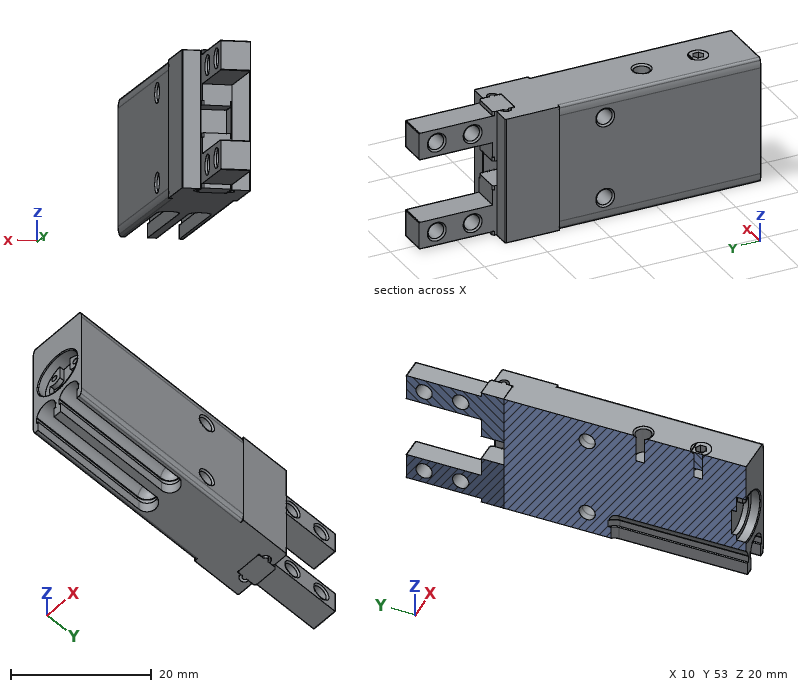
import cadquery as cq
import math

WIDTH = 10.0
HEIGHT = 20.0
LENGTH = 53.0
TOP = HEIGHT / 2

HOUSING_LENGTH = 40.7
HEAD_START = 32.05
HEAD_EDGE_CHAMFER = 0.15
BODY_HALF_WIDTH = WIDTH / 2 - 0.02
CORNER_FLAT_END = 4.4
CORNER_KNEE_X = 4.8
CORNER_KNEE_Z = 9.65
CORNER_SIDE_Z = 8.55

THREAD_DIAMETER = 3.0
TAP_DIAMETER = 2.46
COUNTERSINK_DEPTH = (THREAD_DIAMETER - TAP_DIAMETER) / 2
MOUNT_HOLE_Y = 24.8
MOUNT_HOLE_SPACING = 13.0
PORT_Y = 16.5
PLUG_PORT_Y = 7.5
PORT_DEPTH = 4.5

BORE_DIAMETER = 8.0
BORE_CHAMFER = 0.15
RING_FACE_DEPTH = 1.5
RING_THICKNESS = 0.8
RING_INNER_RADIUS = 3.15
RING_GAP = 2.1
EAR_X = 2.15
EAR_Z = 2.15
EAR_RADIUS = 1.4
EAR_HOLE_DIAMETER = 1.0

SLOT_X = 2.32
SLOT_LENGTH = 20.0
SLOT_MOUTH_WIDTH = 3.3
SLOT_WIDTH = 3.9
SLOT_DOME_RADIUS = 1.85
SLOT_LEDGE_Z = -7.95
SLOT_SHOULDER_Z = -6.8
SLOT_TOP_Z = -5.05

FINGER_WIDTH = 4.35
GUIDE_REAR = 37.8
GUIDE_MOUTH_CHAMFER = 0.15
RAIL_Y = 39.2
RAIL_GROOVE_DIAMETER = 1.57
RAIL_DIAMETER = 0.8
RAIL_INSET = 0.07

SLIDER_FRONT = 41.3
SLIDER_INNER_Z = 2.0
SLIDER_EDGE_CHAMFER = 0.25
NECK_INNER_Z = 2.65
NECK_OUTER_Z = 9.35
FINGER_THICKNESS = 4.3
FINGER_TIP_CHAMFER = 0.1
FINGER_HOLE_TIP_DISTANCE = 2.8
FINGER_HOLE_SPACING = 5.7

SCREW_LENGTH = 3.0
SCREW_FLAT_Y = 1.16
HEX_ACROSS_FLATS = 1.5
HEX_DEPTH = 1.2
SOCKET_FLOOR_DIAMETER = 0.8
SOCKET_CONE_DEPTH = 0.3


def box(x_range, y_range, z_range):
    """Axis-aligned block between the given limits."""
    size = [high - low for low, high in (x_range, y_range, z_range)]
    corner = (x_range[0], y_range[0], z_range[0])
    return cq.Workplane("XY").box(*size, centered=False).translate(corner)


def countersunk_bore(depth):
    """Countersunk tap-drill shape about Z, sinking from Z = 0."""
    return (
        cq.Workplane("XZ")
        .lineTo(THREAD_DIAMETER / 2, 0)
        .lineTo(TAP_DIAMETER / 2, -COUNTERSINK_DEPTH)
        .lineTo(TAP_DIAMETER / 2, -depth)
        .lineTo(0, -depth)
        .close()
        .revolve(360, (0, 0, 0), (0, 1, 0))
    )


def cross_hole(thickness, y, z):
    """Hole through the given thickness along X, countersunk on both sides."""
    half = countersunk_bore(thickness / 2).rotate((0, 0, 0), (0, 1, 0), 90)
    half = half.translate((thickness / 2, 0, 0))
    return half.union(half.mirror("YZ")).translate((0, y, z))


def rear_cylinder(diameter, start, depth, x=0, z=0):
    """Cylinder along +Y starting at Y = start."""
    return cq.Workplane("XZ", origin=(x, start, z)).circle(diameter / 2).extrude(-depth)


def vertical_cylinder(diameter, x, y, bottom, top):
    """Cylinder along Z between two heights."""
    return cq.Workplane("XY", origin=(x, y, bottom)).circle(diameter / 2).extrude(top - bottom)


def rounded_body():
    """Rear body: side walls that curl into the top and bottom faces in two arcs per corner."""
    tight_run = CORNER_KNEE_X - CORNER_FLAT_END
    tight_drop = TOP - CORNER_KNEE_Z
    tight_radius = (tight_run**2 + tight_drop**2) / (2 * tight_drop)
    flank_inset = BODY_HALF_WIDTH - CORNER_KNEE_X
    flank_height = CORNER_KNEE_Z - CORNER_SIDE_Z
    flank_radius = (flank_inset**2 + flank_height**2) / (2 * flank_inset)
    half = (
        cq.Workplane("XZ")
        .moveTo(0, TOP)
        .lineTo(CORNER_FLAT_END, TOP)
        .radiusArc((CORNER_KNEE_X, CORNER_KNEE_Z), tight_radius)
        .radiusArc((BODY_HALF_WIDTH, CORNER_SIDE_Z), flank_radius)
        .lineTo(BODY_HALF_WIDTH, -CORNER_SIDE_Z)
        .radiusArc((CORNER_KNEE_X, -CORNER_KNEE_Z), flank_radius)
        .radiusArc((CORNER_FLAT_END, -TOP), tight_radius)
        .lineTo(0, -TOP)
        .close()
        .extrude(-HEAD_START)
    )
    return half.union(half.mirror("YZ"))


def cylinder_bore():
    """Rear bore, with a deeper recess that leaves a C-shaped retaining step with two eared ends."""
    bore_radius = BORE_DIAMETER / 2
    bore = (
        cq.Workplane("XY")
        .lineTo(bore_radius + BORE_CHAMFER, 0)
        .lineTo(bore_radius, BORE_CHAMFER)
        .lineTo(bore_radius, RING_FACE_DEPTH)
        .lineTo(0, RING_FACE_DEPTH)
        .close()
        .revolve(360, (0, 0, 0), (0, 1, 0))
    )
    recess = rear_cylinder(2 * RING_INNER_RADIUS, RING_FACE_DEPTH, RING_THICKNESS)
    ring_end = RING_FACE_DEPTH + RING_THICKNESS
    for side in (-1, 1):
        recess = recess.cut(
            rear_cylinder(2 * EAR_RADIUS, RING_FACE_DEPTH, RING_THICKNESS, side * EAR_X, EAR_Z)
        )
    gap = box((-RING_GAP / 2, RING_GAP / 2), (RING_FACE_DEPTH, ring_end), (0, bore_radius))
    gap = gap.intersect(rear_cylinder(BORE_DIAMETER, RING_FACE_DEPTH, RING_THICKNESS))
    recess = recess.union(gap)
    for side in (-1, 1):
        recess = recess.union(
            rear_cylinder(EAR_HOLE_DIAMETER, RING_FACE_DEPTH, RING_THICKNESS, side * EAR_X, EAR_Z)
        )
    return bore.union(recess)


def sensor_slot(x):
    """Domed T-slot along Y, ending in the same profile turned about a vertical axis."""
    dome_rise = SLOT_TOP_Z - SLOT_SHOULDER_Z
    dome_half_width = math.sqrt(SLOT_DOME_RADIUS**2 - (SLOT_DOME_RADIUS - dome_rise) ** 2)

    def half_profile():
        return (
            cq.Workplane("XZ")
            .moveTo(0, -TOP)
            .lineTo(SLOT_MOUTH_WIDTH / 2, -TOP)
            .lineTo(SLOT_MOUTH_WIDTH / 2, SLOT_LEDGE_Z)
            .lineTo(SLOT_WIDTH / 2, SLOT_LEDGE_Z)
            .lineTo(SLOT_WIDTH / 2, SLOT_SHOULDER_Z)
            .lineTo(dome_half_width, SLOT_SHOULDER_Z)
            .radiusArc((0, SLOT_TOP_Z), -SLOT_DOME_RADIUS)
            .close()
        )

    straight = half_profile().extrude(-SLOT_LENGTH)
    straight = straight.union(straight.mirror("YZ"))
    rounded_end = half_profile().revolve(360, (0, 0, 0), (0, 1, 0)).translate((0, SLOT_LENGTH, 0))
    return straight.union(rounded_end).translate((x, 0, 0))


def guideway():
    """Slot through the head, with round rail grooves beside each slider that leave the middle solid."""
    half_width = FINGER_WIDTH / 2
    slot = box((-half_width, half_width), (GUIDE_REAR, HOUSING_LENGTH), (-TOP, TOP))
    for side in (-1, 1):
        groove = vertical_cylinder(
            RAIL_GROOVE_DIAMETER, side * half_width, RAIL_Y, SLIDER_INNER_Z, TOP
        )
        slot = slot.union(groove).union(groove.mirror("XY"))
    mouth_half = half_width + GUIDE_MOUTH_CHAMFER
    mouth = (
        cq.Workplane("XY", origin=(0, 0, -TOP))
        .moveTo(-mouth_half, HOUSING_LENGTH)
        .lineTo(-half_width, HOUSING_LENGTH - GUIDE_MOUTH_CHAMFER)
        .lineTo(half_width, HOUSING_LENGTH - GUIDE_MOUTH_CHAMFER)
        .lineTo(mouth_half, HOUSING_LENGTH)
        .close()
        .extrude(HEIGHT)
    )
    return slot.union(mouth)


def make_housing():
    head = box((-WIDTH / 2, WIDTH / 2), (HEAD_START, HOUSING_LENGTH), (-TOP, TOP))
    head = head.edges("|Z and >Y").chamfer(HEAD_EDGE_CHAMFER)
    body = rounded_body().union(head)
    body = body.cut(guideway()).cut(cylinder_bore())
    for side in (-1, 1):
        body = body.cut(sensor_slot(side * SLOT_X))
        body = body.cut(cross_hole(2 * BODY_HALF_WIDTH, MOUNT_HOLE_Y, side * MOUNT_HOLE_SPACING / 2))
    for y in (PORT_Y, PLUG_PORT_Y):
        body = body.cut(countersunk_bore(PORT_DEPTH).translate((0, y, TOP)))
    return body


def make_finger():
    """Upper finger: slider with side rails, a neck plate and a drilled jaw."""
    half_width = FINGER_WIDTH / 2
    across = (-half_width, half_width)
    slider = box(across, (GUIDE_REAR, SLIDER_FRONT), (SLIDER_INNER_Z, TOP))
    slider = slider.edges("|Z").chamfer(SLIDER_EDGE_CHAMFER)
    for side in (-1, 1):
        rail_x = side * (half_width - RAIL_INSET)
        slider = slider.union(vertical_cylinder(RAIL_DIAMETER, rail_x, RAIL_Y, SLIDER_INNER_Z, TOP))
    neck = box(across, (HOUSING_LENGTH, SLIDER_FRONT), (NECK_INNER_Z, NECK_OUTER_Z))
    jaw_inner_z = NECK_OUTER_Z - FINGER_THICKNESS
    jaw = box(across, (HOUSING_LENGTH, LENGTH), (jaw_inner_z, NECK_OUTER_Z))
    jaw = jaw.edges("|X and >Y").chamfer(FINGER_TIP_CHAMFER)
    finger = slider.union(neck).union(jaw)
    hole_z = jaw_inner_z + FINGER_THICKNESS / 2
    for index in range(2):
        hole_y = LENGTH - FINGER_HOLE_TIP_DISTANCE - index * FINGER_HOLE_SPACING
        finger = finger.cut(cross_hole(FINGER_WIDTH, hole_y, hole_z))
    return finger


def make_set_screw():
    """Flush screw that fills its countersink except beside a flat on the +Y side of the head."""
    screw = countersunk_bore(SCREW_LENGTH)
    reach = THREAD_DIAMETER
    flat = box((-reach, reach), (SCREW_FLAT_Y, reach), (-COUNTERSINK_DEPTH, 0))
    hex_across_corners = HEX_ACROSS_FLATS / math.cos(math.radians(30))
    socket = cq.Workplane("XY").polygon(6, hex_across_corners).extrude(-HEX_DEPTH)
    socket = socket.rotate((0, 0, 0), (0, 0, 1), 90)
    cone = (
        cq.Workplane("XY", origin=(0, 0, -HEX_DEPTH))
        .circle(HEX_ACROSS_FLATS / 2)
        .workplane(offset=-SOCKET_CONE_DEPTH)
        .circle(SOCKET_FLOOR_DIAMETER / 2)
        .loft()
    )
    return screw.cut(flat).cut(socket).cut(cone).translate((0, PLUG_PORT_Y, TOP))


housing = make_housing()
upper_finger = make_finger()
fingers = [upper_finger, upper_finger.mirror("XY")]
set_screw = make_set_screw()

result = cq.Compound.makeCompound(
    [housing.val(), *[finger.val() for finger in fingers], set_screw.val()]
)